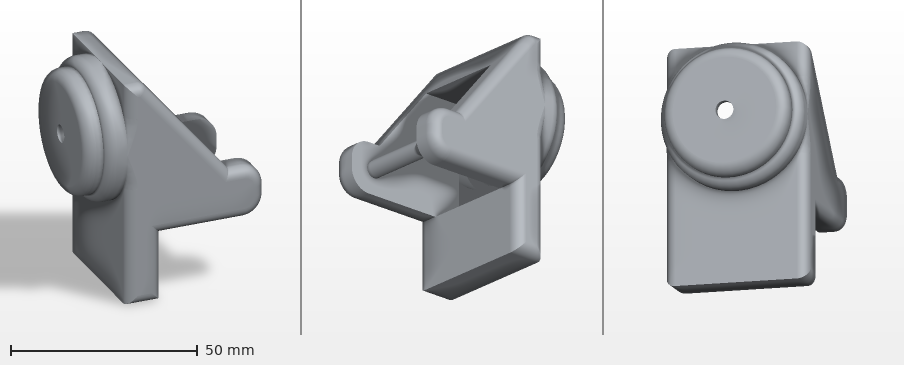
import math

import cadquery as cq

width = 40.0
height = 65.0
plate_depth = 10.0
arm_reach = 40.0
arm_bottom = 20.0
arm_top = 35.0
arm_end_radius = 6.0
brace_top_depth = 5.0
brace_foot_depth = 30.0
edge_radius = 3.0

boss_radius = width / 2
boss_length = 6.0
cap_radius = 17.5
cap_length = 5.0
boss_height = height - boss_radius
boss_front = -boss_length - cap_length
bore_diameter = 5.0

wall = 2.0
hollow_front = boss_front + wall
hollow_step = wall - boss_length

slot_width = 26.0
slot_start = 1.5
slot_top = 55.0
pin_diameter = 5.0
pin_depth = 32.0
pin_height = (arm_bottom + arm_top) / 2
pin_embed = 3.0

rounding_center_x = width / 2 - edge_radius
blend_half_height = math.sqrt(boss_radius**2 - rounding_center_x**2)
blend_sections = 8


def make_body():
    """Plate, arms and sloping brace as one profile, with rounded side edges."""
    outline = [
        (0, 0),
        (plate_depth, 0),
        (plate_depth, arm_bottom),
        (arm_reach, arm_bottom),
        (arm_reach, arm_top),
        (brace_foot_depth, arm_top),
        (brace_top_depth, height),
        (0, height),
    ]
    body = cq.Workplane("YZ").polyline(outline).close().extrude(width / 2, both=True)
    body = body.edges("|X and >Y").fillet(arm_end_radius)
    top_edge = cq.selectors.NearestToPointSelector((0, brace_top_depth, height))
    body = body.edges(top_edge).fillet(edge_radius)
    return body.faces("<X or >X").edges().fillet(edge_radius)


def make_cylinder(radius, front, back):
    """Cylinder on the boss axis between two depths."""
    circle = cq.Workplane("XZ", origin=(0, back, boss_height)).circle(radius)
    return circle.extrude(back - front)


def make_step(radius, front, back):
    """One step of the boss, with its front rim rounded."""
    return make_cylinder(radius, front, back).faces("<Y").edges().fillet(edge_radius)


def rounding_depth(rise):
    """Depth of the corner arc's centre where the arc just reaches the boss rim."""
    rim_x = math.sqrt(boss_radius**2 - rise**2)
    return math.sqrt(max(0, edge_radius**2 - (rim_x - rounding_center_x) ** 2))


def blend_section(rise):
    """Level outline of the corner: a quarter arc running into the side face."""
    center_y = rounding_depth(rise)
    side_x = width / 2
    back_y = center_y + edge_radius
    arc_offset = edge_radius * math.cos(math.pi / 4)
    arc_middle = (rounding_center_x + arc_offset, center_y - arc_offset)
    return (
        cq.Workplane("XY", origin=(0, 0, boss_height + rise))
        .moveTo(rounding_center_x, center_y - edge_radius)
        .threePointArc(arc_middle, (side_x, center_y))
        .lineTo(side_x, back_y)
        .lineTo(rounding_center_x, back_y)
        .close()
        .val()
    )


def make_corner_blends():
    """Four pieces that ease the edge rounding out to the boss rim and back."""
    rises = [blend_half_height * step / blend_sections for step in range(blend_sections + 1)]
    loft = cq.Workplane(cq.Solid.makeLoft([blend_section(rise) for rise in rises]))
    behind_front = cq.Workplane().box(width, plate_depth, height, centered=(True, False, False))
    upper_right = loft.intersect(behind_front)
    upper_pair = upper_right.union(upper_right.mirror("YZ"))
    return upper_pair.union(upper_pair.mirror("XY", (0, 0, boss_height)))


def make_slot():
    slot = cq.Workplane().box(
        slot_width,
        arm_reach - slot_start,
        slot_top - arm_bottom,
        centered=(True, False, False),
    )
    return slot.translate((0, slot_start, arm_bottom))


def make_hollow():
    cap_hollow = make_cylinder(cap_radius - wall, hollow_front, hollow_step)
    boss_hollow = make_cylinder(boss_radius - wall, hollow_step, slot_start)
    return cap_hollow.union(boss_hollow)


def make_pin():
    pin = cq.Workplane("YZ", origin=(0, pin_depth, pin_height)).circle(pin_diameter / 2)
    return pin.extrude(slot_width / 2 + pin_embed, both=True)


def make_bore():
    return make_cylinder(bore_diameter / 2, boss_front, hollow_front)


result = (
    make_body()
    .union(make_corner_blends())
    .union(make_step(boss_radius, -boss_length, 0))
    .union(make_step(cap_radius, boss_front, -boss_length))
    .cut(make_slot())
    .cut(make_hollow())
    .cut(make_bore())
    .union(make_pin())
)